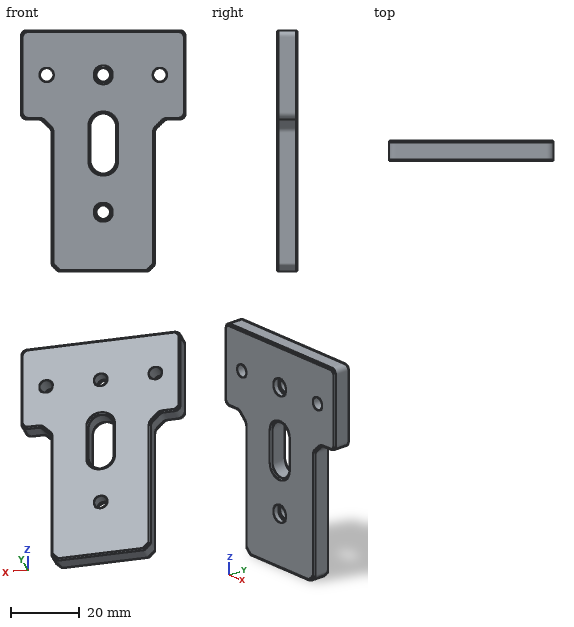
import cadquery as cq

height = 70.3
thickness = 6.0
head_width = 48.0
head_height = 26.0
stem_width = 30.0
edge_chamfer = 0.5

head_corner_radius = 2.0
neck_bevel = 3.0
neck_radius = 2.0
foot_bevel = 2.0
foot_radius = 1.0

hole_diameter = 4.0
side_hole_spacing = 33.0
upper_hole_drop = 13.0
center_hole_spacing = 40.0
counterbore_diameter = 5.5
counterbore_depth = 2.0
slot_width = 7.5
slot_straight_length = 10.0
slot_chamfer = 0.55
slot_angle = 90
chamfer_angle = 45

front_y = -thickness / 2
half_head = head_width / 2
half_stem = stem_width / 2
head_bottom_z = height - head_height
upper_hole_z = height - upper_hole_drop
lower_hole_z = upper_hole_z - center_hole_spacing
slot_z = (upper_hole_z + lower_hole_z) / 2
side_hole_x = side_hole_spacing / 2


def front_plane(x, z):
    """Workplane on the front face whose normal points into the plate (+Y)."""
    return cq.Workplane(cq.Plane(origin=(x, front_y, z), xDir=(1, 0, 0), normal=(0, 1, 0)))


def round_corners(body, corners, radius):
    """Fillet the thickness-direction edges at the given (x, z) corners, mirrored in X."""
    for x, z in corners:
        for side in (-1, 1):
            nearest = cq.selectors.NearestToPointSelector((side * x, 0, z))
            body = body.edges(nearest).fillet(radius)
    return body


def make_plate():
    """T-shaped plate with bevelled and rounded corners and chamfered faces."""
    right_side = [
        (half_stem - foot_bevel, 0),
        (half_stem, foot_bevel),
        (half_stem, head_bottom_z - neck_bevel),
        (half_stem + neck_bevel, head_bottom_z),
        (half_head, head_bottom_z),
        (half_head, height),
    ]
    left_side = [(-x, z) for x, z in reversed(right_side)]
    body = (
        cq.Workplane("XZ", origin=(0, -front_y, 0))
        .polyline(right_side + left_side)
        .close()
        .extrude(thickness)
    )
    foot_corners = right_side[:2]
    neck_corners = right_side[2:4]
    head_corners = right_side[4:]
    body = round_corners(body, foot_corners, foot_radius)
    body = round_corners(body, neck_corners, neck_radius)
    body = round_corners(body, head_corners, head_corner_radius)
    return body.faces("<Y or >Y").chamfer(edge_chamfer)


def make_hole(x, z):
    """Plain through hole."""
    return front_plane(x, z).circle(hole_diameter / 2).extrude(thickness)


def make_counterbored_hole(x, z):
    """Through hole with a counterbore in the front face."""
    counterbore = front_plane(x, z).circle(counterbore_diameter / 2).extrude(counterbore_depth)
    return make_hole(x, z).union(counterbore)


def cut_slot(body):
    """Upright round-ended slot through the plate, chamfered at both faces."""
    slot_length = slot_straight_length + slot_width
    slot = front_plane(0, slot_z).slot2D(slot_length, slot_width, slot_angle).extrude(thickness)
    flare_width = slot_width + 2 * slot_chamfer
    flare_length = slot_length + 2 * slot_chamfer
    flare = (
        front_plane(0, slot_z)
        .slot2D(flare_length, flare_width, slot_angle)
        .extrude(slot_chamfer, taper=chamfer_angle)
    )
    return body.cut(slot).cut(flare).cut(flare.mirror("XZ"))


result = cut_slot(make_plate())
for hole_x in (-side_hole_x, side_hole_x):
    result = result.cut(make_hole(hole_x, upper_hole_z))
for hole_z in (upper_hole_z, lower_hole_z):
    result = result.cut(make_counterbored_hole(0, hole_z))